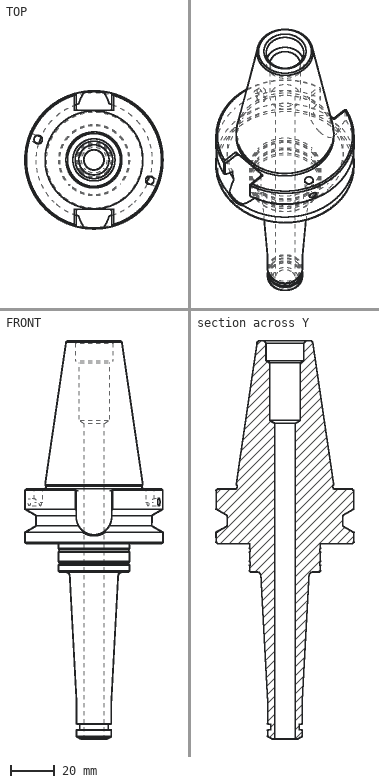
import cadquery as cq
import math

total_length = 181.4
taper_length = 65.5
taper_ratio = 7 / 24
gauge_radius = 22.3
taper_end_chamfer = 0.7
gauge_z = total_length - taper_length
taper_end_radius = gauge_radius - taper_length * taper_ratio / 2

relief_radius = 21.8
relief_height = 0.9

flange_diameter = 63.0
flange_radius = flange_diameter / 2
flange_thickness = 25.0
flange_gap = 2.0
flange_chamfer = 0.7
flange_top = gauge_z - flange_gap
flange_bottom = flange_top - flange_thickness
v_groove_z = gauge_z - 16.5
v_groove_half_width = 5.3
v_groove_root_radius = 26.5
v_groove_angle = 60
v_groove_root_half_width = v_groove_half_width - (
    (flange_radius - v_groove_root_radius) * math.tan(math.radians(v_groove_angle / 2))
)

collar_radius = 32.5 / 2
collar_length = 12.9
collar_chamfer = 0.5
collar_lead_depth = 0.2
collar_lead_height = 1.0
collar_groove_depth = 0.4
collar_groove_root_width = 0.7
collar_groove_mouth_width = 1.8
collar_groove_offsets = (2.9, 8.9)
collar_bottom = flange_bottom - collar_length

nose_radius = 16.0 / 2
nose_taper_bottom = 17.2
nose_taper_top_radius = 11.0
nose_fillet = 1.8
nose_groove_radius = 13.0 / 2
nose_groove_bottom = 4.4
nose_groove_top = 6.7
nose_edge_break = 0.4
nose_tip_chamfer_radial = 1.8
nose_tip_chamfer_height = 0.9

through_radius = 9.0 / 2
counterbore_radius = 17.0 / 2
counterbore_depth = 9.0
counterbore_chamfer = 1.0
thread_lead_height = 1.0
thread_radius = 13.8 / 2
thread_depth = 36.3
drill_tip_angle = 118

slot_width = 16.1
slot_floor_distance = 22.5
slot_bottom_z = 93.0
slot_floor_fillet = 0.7
slot_top_chamfer = 0.9
slot_rim_chamfer = 0.5

coolant_angles = (160, 340)
axial_hole_diameter = 3.8
axial_hole_distance = 27.0
side_hole_diameter = 3.3
side_hole_z = 108.0
side_hole_inner_end = 26.1


def revolve_profile(points):
    return cq.Workplane("XZ").polyline(points).close().revolve(360, (0, 0, 0), (0, 1, 0))


def make_body():
    nose_break_radius = nose_radius - nose_edge_break
    outline = (
        cq.Workplane("XZ")
        .moveTo(0, 0)
        .lineTo(nose_break_radius - nose_tip_chamfer_radial, 0)
        .lineTo(nose_break_radius, nose_tip_chamfer_height)
        .lineTo(nose_radius, nose_tip_chamfer_height + nose_edge_break)
        .lineTo(nose_radius, nose_groove_bottom - nose_edge_break)
        .lineTo(nose_break_radius, nose_groove_bottom)
        .lineTo(nose_groove_radius, nose_groove_bottom)
        .lineTo(nose_groove_radius, nose_groove_top)
        .lineTo(nose_break_radius, nose_groove_top)
        .lineTo(nose_radius, nose_groove_top + nose_edge_break)
        .lineTo(nose_radius, nose_taper_bottom)
        .lineTo(nose_taper_top_radius, collar_bottom - nose_fillet)
        .radiusArc((nose_taper_top_radius + nose_fillet, collar_bottom), nose_fillet)
        .lineTo(collar_radius - collar_chamfer, collar_bottom)
        .lineTo(collar_radius, collar_bottom + collar_chamfer)
        .lineTo(collar_radius, flange_bottom - collar_lead_height)
        .lineTo(collar_radius - collar_lead_depth, flange_bottom)
        .lineTo(flange_radius - flange_chamfer, flange_bottom)
        .lineTo(flange_radius, flange_bottom + flange_chamfer)
        .lineTo(flange_radius, v_groove_z - v_groove_half_width)
        .lineTo(v_groove_root_radius, v_groove_z - v_groove_root_half_width)
        .lineTo(v_groove_root_radius, v_groove_z + v_groove_root_half_width)
        .lineTo(flange_radius, v_groove_z + v_groove_half_width)
        .lineTo(flange_radius, flange_top - flange_chamfer)
        .lineTo(flange_radius - flange_chamfer, flange_top)
        .lineTo(gauge_radius, flange_top)
        .lineTo(relief_radius, gauge_z - relief_height)
        .lineTo(gauge_radius, gauge_z)
        .lineTo(taper_end_radius, total_length - taper_end_chamfer)
        .lineTo(taper_end_radius - taper_end_chamfer, total_length)
        .lineTo(0, total_length)
        .close()
    )
    return outline.revolve(360, (0, 0, 0), (0, 1, 0))


def make_collar_groove(offset):
    middle = flange_bottom - offset
    half_root = collar_groove_root_width / 2
    half_mouth = collar_groove_mouth_width / 2
    root_radius = collar_radius - collar_groove_depth
    return revolve_profile([
        (root_radius, middle - half_root),
        (collar_radius, middle - half_mouth),
        (collar_radius, middle + half_mouth),
        (root_radius, middle + half_root),
    ])


def make_bore():
    counterbore_z = total_length - counterbore_depth
    thread_end_z = total_length - thread_depth
    drill_tip = (thread_radius - through_radius) / math.tan(math.radians(drill_tip_angle / 2))
    return revolve_profile([
        (0, 0),
        (through_radius, 0),
        (through_radius, thread_end_z - drill_tip),
        (thread_radius, thread_end_z),
        (thread_radius, counterbore_z - thread_lead_height),
        (counterbore_radius, counterbore_z),
        (counterbore_radius, total_length - counterbore_chamfer),
        (counterbore_radius + counterbore_chamfer, total_length),
        (0, total_length),
    ])


def make_drive_slot():
    """Round-ended slot cutter on the -Y side with rounded floor corners."""
    half = slot_width / 2
    center_z = slot_bottom_z + half
    return (
        cq.Workplane("XZ", origin=(0, -slot_floor_distance, 0))
        .moveTo(-half, flange_top)
        .lineTo(-half, center_z)
        .threePointArc((0, slot_bottom_z), (half, center_z))
        .lineTo(half, flange_top)
        .close()
        .extrude(flange_radius - slot_floor_distance)
        .faces(">Y").edges("not >Z").fillet(slot_floor_fillet)
    )


def make_slot_top_chamfer():
    """Wedge that widens the slot at the top face of the flange."""
    half = slot_width / 2
    return (
        cq.Workplane("XZ", origin=(0, -slot_floor_distance, 0))
        .polyline([
            (-half - slot_top_chamfer, flange_top),
            (-half, flange_top - slot_top_chamfer),
            (half, flange_top - slot_top_chamfer),
            (half + slot_top_chamfer, flange_top),
        ])
        .close()
        .extrude(flange_radius - slot_floor_distance)
    )


def chamfer_slot_rims(body):
    """Chamfer the slot edges on the cylindrical rims above and below the V-groove."""
    half = slot_width / 2
    margin = slot_rim_chamfer
    rim_y = math.sqrt(flange_radius**2 - half**2)
    rim_low_z = v_groove_z + v_groove_half_width - margin
    lower_rim_z = v_groove_z - v_groove_half_width
    for side in (-1, 1):
        for x in (-half, half):
            upright_edge = cq.selectors.BoxSelector(
                (x - margin, side * rim_y - margin, rim_low_z),
                (x + margin, side * rim_y + margin, flange_top),
            )
            body = body.edges("|Z").edges(upright_edge).chamfer(slot_rim_chamfer)
        rounded_end = cq.selectors.BoxSelector(
            (-half, side * v_groove_root_radius, slot_bottom_z - margin),
            (half, side * flange_radius, lower_rim_z),
        )
        body = body.edges(rounded_end).chamfer(slot_rim_chamfer)
    return body


def make_coolant_holes(angle):
    """Hole down from the flange top, meeting a radial hole from the rim."""
    axial = (
        cq.Workplane("XY", origin=(axial_hole_distance, 0, side_hole_z))
        .circle(axial_hole_diameter / 2)
        .extrude(flange_top - side_hole_z)
    )
    side = (
        cq.Workplane("YZ", origin=(side_hole_inner_end, 0, side_hole_z))
        .circle(side_hole_diameter / 2)
        .extrude(flange_radius - side_hole_inner_end)
    )
    return axial.union(side).rotate((0, 0, 0), (0, 0, 1), angle)


result = make_body().cut(make_bore())
for groove_offset in collar_groove_offsets:
    result = result.cut(make_collar_groove(groove_offset))
for slot_angle in (0, 180):
    result = result.cut(make_drive_slot().rotate((0, 0, 0), (0, 0, 1), slot_angle))
result = chamfer_slot_rims(result)
for slot_angle in (0, 180):
    result = result.cut(make_slot_top_chamfer().rotate((0, 0, 0), (0, 0, 1), slot_angle))
for coolant_angle in coolant_angles:
    result = result.cut(make_coolant_holes(coolant_angle))